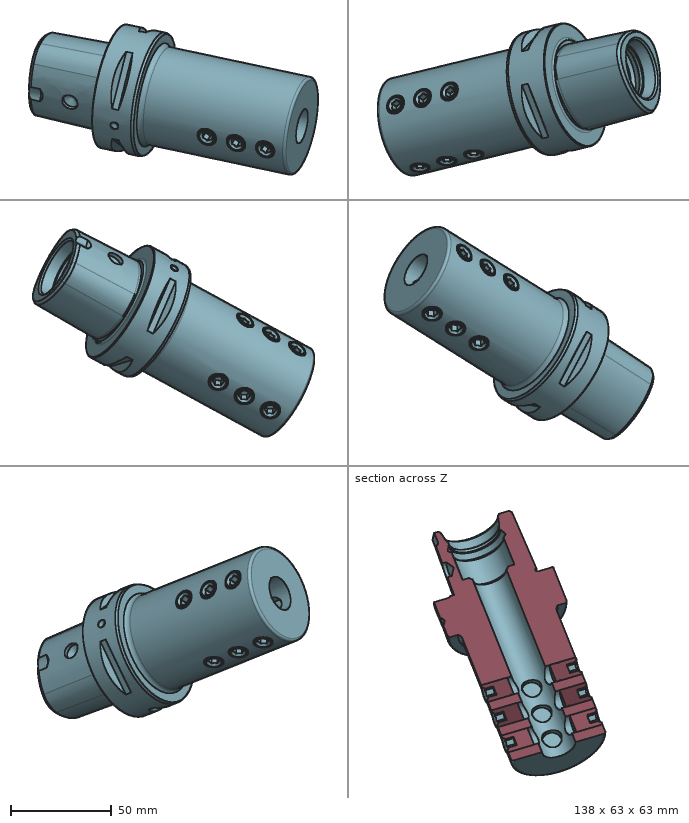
import cadquery as cq
import math

length = 138.0

flange_diameter = 63.0
flange_radius = flange_diameter / 2
flange_front = 38.0
flange_back = 60.0
flange_front_chamfer = 0.4
flange_back_chamfer_length = 1.4
flange_back_chamfer_depth = 0.5

tube_radius = 25.0
tube_end_fillet = 1.4
neck_fillet = 3.5
neck_fillet_length = 2.8

taper_end = 35.9
taper_mean_diameter = 44.0
taper_mean_radius = taper_mean_diameter / 2
lobe_eccentricity = 1.4
taper_slope = 1 / 40
nose_length = 1.5
nose_inset = 1.1
lobe_spacing = 120
lobe_peaks = (60, 180, 300)
lobe_half_angle = 26.0
outline_samples = 12

relief_radius = 22.6
relief_start = 36.3
collar_front = 37.3
collar_root_radius = 24.3
collar_fillet = 1.8

bore_diameter = 17.5
bore_radius = bore_diameter / 2
bore_mouth_radius = 10.4
socket_depth = 30.4
socket_radius = 13.5
nose_bore_radius = 16.0
nose_bore_chamfer = 1.0
lead_cone_end = 6.8
lead_cone_end_radius = 13.8
lip_radius = 13.2
lip_chamfer = 0.4
lip_end = 9.2
clamp_groove_peak = 12.3
clamp_groove_radius = 15.2

groove_x = 50.0
slot_radius = 6.0
slot_floor = 18.2
slot_length = 6.2
taper_dimple_x = 22.4
taper_dimple_radius = 4.1
taper_dimple_depth = 2.2
flange_dimple_x = groove_x
flange_dimple_radius = 2.1
flange_dimple_depth = 0.4
dimple_point_angle = 118.0
groove_floor = 27.9
groove_floor_width = 3.3
groove_wall_angle = 30.0
groove_angles = (45, 135, 225, 315)

screw_radius = 5.0
screw_chamfer = 0.4
screw_tip = 11.0
screw_first_x = 96.5
screw_pitch = 15.5
screws_per_row = 3
row_angles = (0, 90, 180)
hex_width = 5.0
hex_depth = 5.5
hex_turn = 30
hex_mouth_radius = 3.9


def outline_point(x, mean_radius, degrees):
    """Point of the three-lobed outline: a parallel curve whose support radius varies as cos(3t)."""
    t = math.radians(degrees)
    e = lobe_eccentricity
    across = mean_radius * math.cos(t) - 2 * e * math.cos(2 * t) + e * math.cos(4 * t)
    up = mean_radius * math.sin(t) + 2 * e * math.sin(2 * t) + e * math.sin(4 * t)
    return cq.Vector(x, -across, up)


def outline_wire(x, mean_radius):
    """Closed outline made of alternating lobe and flat curves."""
    edges = []
    for lobe in lobe_peaks:
        lobe_start = lobe - lobe_half_angle
        lobe_stop = lobe + lobe_half_angle
        next_lobe_start = lobe_start + lobe_spacing
        for start, stop in ((lobe_start, lobe_stop), (lobe_stop, next_lobe_start)):
            step = (stop - start) / outline_samples
            points = [outline_point(x, mean_radius, start + i * step) for i in range(outline_samples + 1)]
            edges.append(cq.Edge.makeSpline(points))
    return cq.Wire.assembleEdges(edges)


def revolved(profile):
    """Turn a closed (x, radius) profile about the tool axis."""
    return profile.close().revolve(360, (0, 0, 0), (1, 0, 0))


def make_taper():
    def mean_radius(x):
        return taper_mean_radius - (taper_end - x) * taper_slope

    nose = outline_wire(0, mean_radius(0) - nose_inset)
    shoulder = outline_wire(nose_length, mean_radius(nose_length))
    taper_root = outline_wire(taper_end, taper_mean_radius)
    neck_root = outline_wire(flange_front, taper_mean_radius)
    taper = cq.Workplane(cq.Solid.makeLoft([nose, shoulder], True))
    taper = taper.union(cq.Workplane(cq.Solid.makeLoft([shoulder, taper_root], True)))
    taper = taper.union(cq.Workplane(cq.Solid.makeLoft([taper_root, neck_root], True)))

    relief = revolved(
        cq.Workplane("XY")
        .moveTo(relief_start, relief_radius)
        .lineTo(flange_front, relief_radius)
        .lineTo(flange_front, flange_radius)
        .lineTo(relief_start, flange_radius)
    )
    return taper.cut(relief)


def make_turned_body():
    """Collar, flange and tube."""
    neck_end = flange_back + neck_fillet_length
    neck_radius = tube_radius + neck_fillet - math.sqrt(neck_fillet**2 - neck_fillet_length**2)
    return revolved(
        cq.Workplane("XY")
        .moveTo(collar_front, 0)
        .lineTo(collar_front, relief_radius)
        .radiusArc((flange_front, collar_root_radius), -collar_fillet)
        .lineTo(flange_front, flange_radius - flange_front_chamfer)
        .lineTo(flange_front + flange_front_chamfer, flange_radius)
        .lineTo(flange_back - flange_back_chamfer_length, flange_radius)
        .lineTo(flange_back, flange_radius - flange_back_chamfer_depth)
        .lineTo(flange_back, neck_radius)
        .radiusArc((neck_end, tube_radius), -neck_fillet)
        .lineTo(length - tube_end_fillet, tube_radius)
        .radiusArc((length, tube_radius - tube_end_fillet), tube_end_fillet)
        .lineTo(length, 0)
    )


def make_bore():
    mouth_chamfer = bore_mouth_radius - bore_radius
    groove_end = clamp_groove_peak + clamp_groove_radius - socket_radius
    return revolved(
        cq.Workplane("XY")
        .moveTo(0, 0)
        .lineTo(0, nose_bore_radius)
        .lineTo(nose_bore_chamfer, nose_bore_radius - nose_bore_chamfer)
        .lineTo(lead_cone_end, lead_cone_end_radius)
        .lineTo(lead_cone_end + lip_chamfer, lip_radius)
        .lineTo(lip_end - lip_chamfer, lip_radius)
        .lineTo(lip_end, lip_radius + lip_chamfer)
        .lineTo(clamp_groove_peak, clamp_groove_radius)
        .lineTo(groove_end, socket_radius)
        .lineTo(socket_depth, socket_radius)
        .lineTo(socket_depth, bore_mouth_radius)
        .lineTo(socket_depth + mouth_chamfer, bore_radius)
        .lineTo(length, bore_radius)
        .lineTo(length, 0)
    )


def make_drive_slot():
    """Round-bottomed slot from the nose, ending in a 45 degree cone."""
    axis_y = -(slot_floor + slot_radius)
    profile = (
        cq.Workplane("XY")
        .moveTo(0, axis_y)
        .lineTo(0, -slot_floor)
        .lineTo(slot_length, -slot_floor)
        .lineTo(slot_length + slot_radius, axis_y)
        .close()
    )
    return profile.revolve(360, (0, axis_y, 0), (1, axis_y, 0))


def make_dimple(x, radius, depth, surface_radius):
    """Shallow drilled hole from the -Y side, with a straight wall and a conical bottom."""
    wall_end = surface_radius - depth
    point = wall_end - radius / math.tan(math.radians(dimple_point_angle / 2))
    return (
        cq.Workplane("XY")
        .moveTo(x, -flange_diameter)
        .lineTo(x + radius, -flange_diameter)
        .lineTo(x + radius, -wall_end)
        .lineTo(x, -point)
        .close()
        .revolve(360, (x, 0, 0), (x, 1, 0))
    )


def make_gripper_groove(angle):
    """Straight groove with sloping walls, square to a radius of the flange."""
    depth = flange_radius - groove_floor
    half_floor = groove_floor_width / 2
    half_mouth = half_floor + depth * math.tan(math.radians(groove_wall_angle))
    return (
        cq.Workplane("XY")
        .polyline([
            (groove_x - half_floor, groove_floor),
            (groove_x + half_floor, groove_floor),
            (groove_x + half_mouth, flange_radius),
            (groove_x - half_mouth, flange_radius),
        ])
        .close()
        .extrude(flange_radius, both=True)
        .rotate((0, 0, 0), (1, 0, 0), angle)
    )


def screw_places():
    return [
        (screw_first_x + i * screw_pitch, angle)
        for angle in row_angles
        for i in range(screws_per_row)
    ]


def make_screw_blank(x, angle):
    """Set screw without its socket, which is also the shape of the threaded hole."""
    axis = (cq.Vector(x, -screw_tip, 0), cq.Vector(0, -1, 0))
    blank = cq.Workplane(cq.Solid.makeCylinder(screw_radius, tube_radius - screw_tip, *axis))
    blank = blank.faces("<Y").chamfer(screw_chamfer)
    return blank.rotate((0, 0, 0), (1, 0, 0), angle)


def make_screw(x, angle):
    hex_circle = hex_width / math.cos(math.pi / 6)
    socket = (
        cq.Workplane("XZ", origin=(x, -tube_radius, 0))
        .transformed(rotate=(0, 0, hex_turn))
        .polygon(6, hex_circle)
        .extrude(-hex_depth)
    )
    mouth = cq.Workplane(
        cq.Solid.makeCone(
            hex_mouth_radius, 0, hex_mouth_radius, cq.Vector(x, -tube_radius, 0), cq.Vector(0, 1, 0)
        )
    )
    recess = socket.union(mouth).rotate((0, 0, 0), (1, 0, 0), angle)
    return make_screw_blank(x, angle).cut(recess)


def make_screw_hole(x, angle):
    """Hole that fits the screw and carries on into the bore at full width."""
    run_out = cq.Workplane(
        cq.Solid.makeCylinder(screw_radius, screw_tip, cq.Vector(x, 0, 0), cq.Vector(0, -1, 0))
    )
    return make_screw_blank(x, angle).union(run_out.rotate((0, 0, 0), (1, 0, 0), angle))


def make_holder():
    taper_flat_radius = taper_mean_radius - lobe_eccentricity - (taper_end - taper_dimple_x) * taper_slope
    holder = make_taper().union(make_turned_body()).cut(make_bore()).cut(make_drive_slot())
    holder = holder.cut(
        make_dimple(taper_dimple_x, taper_dimple_radius, taper_dimple_depth, taper_flat_radius)
    )
    holder = holder.cut(
        make_dimple(flange_dimple_x, flange_dimple_radius, flange_dimple_depth, flange_radius)
    )
    for angle in groove_angles:
        holder = holder.cut(make_gripper_groove(angle))
    for x, angle in screw_places():
        holder = holder.cut(make_screw_hole(x, angle))
    return holder


holder = make_holder()
screws = [make_screw(x, angle) for x, angle in screw_places()]

result = cq.Compound.makeCompound([holder.val(), *[screw.val() for screw in screws]])